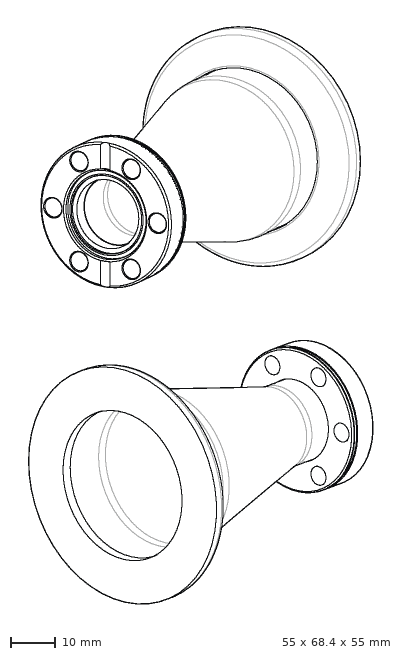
import cadquery as cq
import math

total_length = 68.4

wall = 1.65
large_outer_radius = 38.1 / 2
small_outer_radius = 19.1 / 2
bend_radius = 10.0
small_corner_y = 14.4
large_corner_y = 54.75

bolt_flange_radius = 33.7 / 2
bolt_flange_thickness = 7.5
bolt_flange_bore_radius = 16.0 / 2
bolt_flange_socket_radius = 19.3 / 2
bolt_flange_socket_depth = 4.5
front_chamfer = 0.5
back_chamfer = 0.4
rim_groove_start = 5.9
rim_groove_end = 6.9
rim_groove_depth = 0.3

recess_radius = 21.5 / 2
recess_chamfer = 0.4
recess_depth = 1.2
knife_inner_radius = 9.1
knife_tip_width = 0.35
knife_tip_depth = 0.6
knife_floor_depth = 1.2

bolt_hole_count = 6
bolt_hole_diameter = 4.4
bolt_hole_chamfer = 0.2
bolt_circle_radius = 13.5
leak_groove_width = 2.45
leak_groove_depth = 0.55

clamp_radius = 55.0 / 2
clamp_thickness = 5.05
clamp_back_radius = 19.65
clamp_taper_angle = 15
clamp_edge_fillet = 1.5
clamp_socket_radius = 38.4 / 2
clamp_socket_depth = 2.5
clamp_bore_radius = large_outer_radius - wall


def revolve_about_y(profile):
    return profile.close().revolve(360, (0, 0, 0), (0, 1, 0))


neck_mid_radius = small_outer_radius - wall / 2
wide_mid_radius = large_outer_radius - wall / 2
cone_angle = math.atan2(wide_mid_radius - neck_mid_radius, large_corner_y - small_corner_y)
tangent_length = bend_radius * math.tan(cone_angle / 2)
small_bend_start_y = small_corner_y - tangent_length
large_bend_end_y = large_corner_y + tangent_length
small_bend_center_x = neck_mid_radius + bend_radius
large_bend_center_x = wide_mid_radius - bend_radius
tube_start_y = bolt_flange_socket_depth
tube_end_y = total_length - clamp_thickness + clamp_socket_depth


def tube_surface_points(offset):
    """Points of a line parallel to the mid-wall line, in order from the neck to the wide end."""
    small_radius = bend_radius - offset
    large_radius = bend_radius + offset

    def small_bend(angle):
        return (small_bend_center_x - small_radius * math.cos(angle),
                small_bend_start_y + small_radius * math.sin(angle))

    def large_bend(angle):
        return (large_bend_center_x + large_radius * math.cos(angle),
                large_bend_end_y - large_radius * math.sin(angle))

    half_angle = cone_angle / 2
    return [
        (neck_mid_radius + offset, tube_start_y),
        small_bend(0), small_bend(half_angle), small_bend(cone_angle),
        large_bend(cone_angle), large_bend(half_angle), large_bend(0),
        (wide_mid_radius + offset, tube_end_y),
    ]


def trace_tube_surface(profile, points):
    """Continue the profile through straight, bend, cone, bend, straight."""
    _, bend_start, bend_middle, bend_end, next_start, next_middle, next_end, last = points
    return (
        profile.lineTo(*bend_start).threePointArc(bend_middle, bend_end)
        .lineTo(*next_start).threePointArc(next_middle, next_end)
        .lineTo(*last)
    )


def make_reducer_tube():
    outer = tube_surface_points(wall / 2)
    inner = tube_surface_points(-wall / 2)[::-1]
    profile = trace_tube_surface(cq.Workplane("XY").moveTo(*outer[0]), outer)
    profile = trace_tube_surface(profile.lineTo(*inner[0]), inner)
    return revolve_about_y(profile)


def make_bolt_flange_blank():
    groove_floor_radius = bolt_flange_radius - rim_groove_depth
    profile = cq.Workplane("XY").polyline([
        (bolt_flange_bore_radius, knife_floor_depth),
        (knife_inner_radius, knife_floor_depth),
        (knife_inner_radius, knife_tip_depth),
        (knife_inner_radius + knife_tip_width, knife_tip_depth),
        (recess_radius - recess_chamfer, recess_depth),
        (recess_radius - recess_chamfer, recess_chamfer),
        (recess_radius, 0),
        (bolt_flange_radius - front_chamfer, 0),
        (bolt_flange_radius, front_chamfer),
        (bolt_flange_radius, rim_groove_start),
        (groove_floor_radius, rim_groove_start),
        (groove_floor_radius, rim_groove_end),
        (bolt_flange_radius, rim_groove_end),
        (bolt_flange_radius, bolt_flange_thickness - back_chamfer),
        (bolt_flange_radius - back_chamfer, bolt_flange_thickness),
        (bolt_flange_socket_radius, bolt_flange_thickness),
        (bolt_flange_socket_radius, bolt_flange_socket_depth),
        (bolt_flange_bore_radius, bolt_flange_socket_depth),
    ])
    return revolve_about_y(profile)


def make_bolt_holes():
    """Cutters for the through holes, flared at the front face."""
    hole_radius = bolt_hole_diameter / 2
    cutter = revolve_about_y(cq.Workplane("XY").polyline([
        (0, 0),
        (hole_radius + bolt_hole_chamfer, 0),
        (hole_radius, bolt_hole_chamfer),
        (hole_radius, bolt_flange_thickness),
        (0, bolt_flange_thickness),
    ])).val()
    return (
        cq.Workplane("XY")
        .newObject([
            cutter.moved(cq.Location(cq.Vector(
                bolt_circle_radius * math.cos(angle), 0, bolt_circle_radius * math.sin(angle))))
            for angle in (2 * math.pi * i / bolt_hole_count for i in range(bolt_hole_count))
        ])
        .combine()
    )


def make_leak_groove():
    """Round-bottomed channel across the whole front face, along Z."""
    half_width = leak_groove_width / 2
    groove_radius = (half_width**2 + leak_groove_depth**2) / (2 * leak_groove_depth)
    return (
        cq.Workplane("XY")
        .center(0, leak_groove_depth - groove_radius)
        .circle(groove_radius)
        .extrude(bolt_flange_radius, both=True)
    )


def make_bolt_flange():
    recess_zone = cq.Workplane("XZ").circle(recess_radius).extrude(-bolt_flange_thickness)
    leak_grooves = make_leak_groove().cut(recess_zone)
    return make_bolt_flange_blank().cut(make_bolt_holes()).cut(leak_grooves)


def make_clamp_flange():
    back_y = total_length - clamp_thickness
    shoulder_y = back_y + clamp_socket_depth
    taper_rise = (clamp_radius - clamp_back_radius) * math.tan(math.radians(clamp_taper_angle))
    profile = cq.Workplane("XY").polyline([
        (clamp_bore_radius, total_length),
        (clamp_radius, total_length),
        (clamp_radius, back_y + taper_rise),
        (clamp_back_radius, back_y),
        (clamp_socket_radius, back_y),
        (clamp_socket_radius, shoulder_y),
        (clamp_bore_radius, shoulder_y),
    ])
    blank = revolve_about_y(profile)
    outer_edges = blank.edges(cq.selectors.RadiusNthSelector(-1))
    return outer_edges.edges("<Y").fillet(clamp_edge_fillet)


reducer_tube = make_reducer_tube()
bolt_flange = make_bolt_flange()
clamp_flange = make_clamp_flange()

result = cq.Compound.makeCompound([reducer_tube.val(), bolt_flange.val(), clamp_flange.val()])